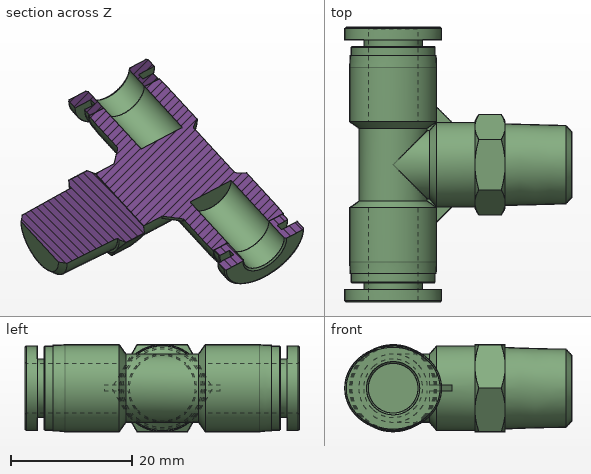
import cadquery as cq
import math


socket_radius = 7.2
socket_mouth_radius = 7.1
waist_radius = 5.65
waist_end = 6.0
socket_start = 7.1
socket_taper_start = 16.05
run_end = 18.0
branch_radius = 7.0
branch_start = 7.2
branch_end = 13.5

tube_bore_radius = 8.2 / 2
tube_bore_floor = socket_start

gusset_thickness = 1.0
gusset_reach = 16.7

nose_radius = 6.95
nose_chamfer = 0.15
nose_end = 19.5
neck_radius = 9.7 / 2
flange_length_x = 16.0
flange_length_z = 14.0
flange_chamfer = 0.25
flange_inner_face = 20.6
flange_outer_face = 45.4 / 2
mouth_chamfer = 0.3

hex_across_flats = 14.4
hex_length = 5.0
hex_chamfer_angle = 30.0
thread_root_radius = 6.75
thread_tip_radius = 6.48
thread_chamfer = 1.05
thread_chamfer_length = 1.0
stem_end = 29.5


def revolve_about_y(points):
    return cq.Workplane("XY").polyline(points).close().revolve(360, (0, 0, 0), (0, 1, 0))


def revolve_about_x(points):
    return cq.Workplane("XY").polyline(points).close().revolve(360, (0, 0, 0), (1, 0, 0))


def make_run():
    half_outline = [
        (waist_radius, waist_end),
        (socket_radius, socket_start),
        (socket_radius, socket_taper_start),
        (socket_mouth_radius, run_end),
        (0, run_end),
    ]
    mirrored_outline = [(radius, -y) for radius, y in reversed(half_outline)]
    return revolve_about_y(half_outline + mirrored_outline)


def make_branch():
    return revolve_about_x([
        (0, 0),
        (0, waist_radius),
        (waist_end, waist_radius),
        (branch_start, branch_radius),
        (branch_end, branch_radius),
        (branch_end, 0),
    ])


def make_gussets():
    outline = [(0, -gusset_reach), (gusset_reach, 0), (0, gusset_reach)]
    web = cq.Workplane("XY").polyline(outline).close().extrude(gusset_thickness / 2, both=True)
    return web.intersect(cq.Workplane("XY").box(2 * branch_end, 2 * run_end, gusset_thickness))


def make_tube_bore(side):
    """Cutter for the tube bore at one end of the run; side is -1 or +1 along Y."""
    return revolve_about_y([
        (0, side * tube_bore_floor),
        (tube_bore_radius, side * tube_bore_floor),
        (tube_bore_radius, side * (flange_outer_face - mouth_chamfer)),
        (tube_bore_radius + mouth_chamfer, side * flange_outer_face),
        (0, side * flange_outer_face),
    ])


def make_tee():
    tee = make_run().union(make_branch()).union(make_gussets())
    for side in (-1, 1):
        tee = tee.cut(make_tube_bore(side))
    return tee


def make_sleeve(side):
    """Release sleeve for one end of the run; side is -1 or +1 along Y."""
    nose_and_neck = revolve_about_y([
        (0, side * run_end),
        (nose_radius, side * run_end),
        (nose_radius, side * (nose_end - nose_chamfer)),
        (nose_radius - nose_chamfer, side * nose_end),
        (neck_radius, side * nose_end),
        (neck_radius, side * flange_inner_face),
        (0, side * flange_inner_face),
    ])
    outer_face = ">Y" if side > 0 else "<Y"
    flange = (
        cq.Workplane("XZ", origin=(0, side * flange_inner_face, 0))
        .ellipse(flange_length_x / 2, flange_length_z / 2)
        .extrude(-side * (flange_outer_face - flange_inner_face))
        .faces(outer_face)
        .edges()
        .chamfer(flange_chamfer)
    )
    return nose_and_neck.union(flange).cut(make_tube_bore(side))


def make_hexagon():
    """Hexagon with flats facing up and down, both ends turned to a cone at the corners."""
    flat_radius = hex_across_flats / 2
    corner_radius = flat_radius / math.cos(math.radians(30))
    chamfer_length = (corner_radius - flat_radius) * math.tan(math.radians(hex_chamfer_angle))
    hex_end = branch_end + hex_length
    prism = (
        cq.Workplane("YZ", origin=(branch_end, 0, 0))
        .polygon(6, 2 * corner_radius)
        .extrude(hex_length)
    )
    turned_blank = revolve_about_x([
        (branch_end, 0),
        (branch_end, flat_radius),
        (branch_end + chamfer_length, corner_radius),
        (hex_end - chamfer_length, corner_radius),
        (hex_end, flat_radius),
        (hex_end, 0),
    ])
    return prism.intersect(turned_blank)


def make_stem():
    hex_end = branch_end + hex_length
    thread = revolve_about_x([
        (hex_end, 0),
        (hex_end, thread_root_radius),
        (stem_end - thread_chamfer_length, thread_tip_radius),
        (stem_end, thread_tip_radius - thread_chamfer),
        (stem_end, 0),
    ])
    return make_hexagon().union(thread)


tee = make_tee()
stem = make_stem()
sleeves = [make_sleeve(side) for side in (-1, 1)]

result = cq.Compound.makeCompound([tee.val(), stem.val(), *[sleeve.val() for sleeve in sleeves]])